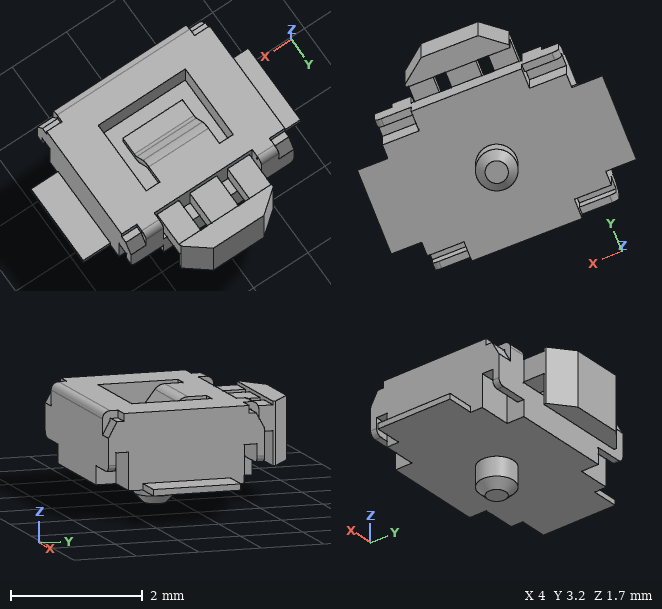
import cadquery as cq
import math


overall_y = 3.2
body_x = 3.0
body_y = 2.5
body_z = 1.2

sheet = 0.12
cover_bend_radius = 0.12
skirt_bottom = 0.3
skirt_corner_radius = 0.11
cover_notch_x = 0.28
cover_notch_y = 0.25
top_cutout_depth = 0.25

housing_top = body_z - sheet
block_x = 1.8
block_z = 0.6
foot_notch_y = 0.325
corner_chamfer_y = 0.135
corner_chamfer_z = 0.25

window_x = 1.6
window_y = 1.28
window_floor = 0.7
tongue_x = 1.095
tongue_bend_y = 0.345
tongue_end_y = -0.35
tongue_drop = 0.32
tongue_angle = 52.0
tongue_inner_radius = 0.08
tongue_outer_radius = tongue_inner_radius + sheet

plunger_x = 1.7
plunger_tip_x = 0.93
plunger_front_y = 1.6
plunger_tip_y = overall_y - body_y / 2
plunger_straight_y = 0.045
plunger_bottom = 0.11
plunger_z = 1.0
arm_bottom = 0.65
arm_z = 0.4
middle_arm_x = 0.495
arm_gap_x = 0.2

terminal_span = 4.0
terminal_y = 1.4
terminal_z = 0.1
peg_diameter = 0.65
peg_length = 0.5
peg_chamfer = 0.15

half_x = body_x / 2
half_y = body_y / 2
top_cutout_y = half_y - top_cutout_depth


def box(x0, x1, y0, y1, z0, z1):
    """Box between two opposite corners."""
    return cq.Workplane("XY").box(x1 - x0, y1 - y0, z1 - z0, centered=False).translate((x0, y0, z0))


def centred_box(size_x, size_y, z0, z1):
    """Box centred on the Z axis between two heights."""
    return box(-size_x / 2, size_x / 2, -size_y / 2, size_y / 2, z0, z1)


def yz_prism(width, profile_points):
    """Extrude a YZ outline symmetrically about X = 0."""
    return cq.Workplane("YZ").polyline(profile_points).close().extrude(width / 2, both=True)


def make_housing():
    """Moulded body: chamfered upper part on a foot with notched corners."""
    shoulder_y = half_y - corner_chamfer_y
    shoulder_z = housing_top - corner_chamfer_z
    upper = yz_prism(body_x, [
        (-half_y, block_z),
        (half_y, block_z),
        (half_y, shoulder_z),
        (shoulder_y, housing_top),
        (-shoulder_y, housing_top),
        (-half_y, shoulder_z),
    ])
    foot = centred_box(body_x, body_y - 2 * foot_notch_y, 0, block_z)
    block = centred_box(block_x, body_y, 0, block_z)
    return upper.union(foot).union(block)


def make_cover():
    """Folded channel with rounded bends, notched at the corners and over the foot block."""
    shell = (
        centred_box(body_x, body_y, skirt_bottom, body_z)
        .edges("|X and >Z").fillet(cover_bend_radius)
        .edges("|Y and <Z").fillet(skirt_corner_radius)
    )
    shell = shell.cut(centred_box(body_x, body_y - 2 * sheet, skirt_bottom, housing_top))
    shell = shell.cut(centred_box(block_x, body_y, skirt_bottom, block_z))
    rear_corner = box(half_x - cover_notch_x, half_x, half_y - cover_notch_y, half_y, block_z, body_z)
    for corner in (rear_corner, rear_corner.mirror("XZ")):
        shell = shell.cut(corner).cut(corner.mirror("YZ"))
    return shell


def make_tongue():
    """Strip of the cover bent down through an S into the window."""
    angle = math.radians(tongue_angle)
    inner = tongue_inner_radius
    outer = tongue_outer_radius
    low_top = body_z - tongue_drop
    bends_drop = (inner + outer) * (1 - math.cos(angle))
    slope = (tongue_drop - bends_drop) / math.sin(angle)
    low_bend_y = tongue_bend_y - (inner + outer) * math.sin(angle) - slope * math.cos(angle)

    def on_upper_bend(radius, turn):
        return (tongue_bend_y - radius * math.sin(turn), body_z - outer + radius * math.cos(turn))

    def on_lower_bend(radius, turn):
        return (low_bend_y + radius * math.sin(turn), low_top + inner - radius * math.cos(turn))

    return (
        cq.Workplane("YZ")
        .moveTo(window_y / 2, body_z)
        .lineTo(tongue_bend_y, body_z)
        .threePointArc(on_upper_bend(outer, angle / 2), on_upper_bend(outer, angle))
        .lineTo(*on_lower_bend(inner, angle))
        .threePointArc(on_lower_bend(inner, angle / 2), on_lower_bend(inner, 0))
        .lineTo(tongue_end_y, low_top)
        .lineTo(tongue_end_y, low_top - sheet)
        .lineTo(low_bend_y, low_top - sheet)
        .threePointArc(on_lower_bend(outer, angle / 2), on_lower_bend(outer, angle))
        .lineTo(*on_upper_bend(inner, angle))
        .threePointArc(on_upper_bend(inner, angle / 2), on_upper_bend(inner, 0))
        .lineTo(window_y / 2, housing_top)
        .close()
        .extrude(tongue_x / 2, both=True)
    )


def make_plunger():
    """Tapered push head on three arms that enter the back of the housing."""
    taper_y = plunger_front_y + plunger_straight_y
    plunger = (
        cq.Workplane("XY", origin=(0, 0, plunger_bottom))
        .polyline([
            (-plunger_x / 2, plunger_front_y),
            (plunger_x / 2, plunger_front_y),
            (plunger_x / 2, taper_y),
            (plunger_tip_x / 2, plunger_tip_y),
            (-plunger_tip_x / 2, plunger_tip_y),
            (-plunger_x / 2, taper_y),
        ])
        .close()
        .extrude(plunger_z)
    )
    arm_top = arm_bottom + arm_z
    arms = box(-plunger_x / 2, plunger_x / 2, top_cutout_y, plunger_front_y, arm_bottom, arm_top)
    for side in (-1, 1):
        gap_centre = side * (middle_arm_x + arm_gap_x) / 2
        gap_x0 = gap_centre - arm_gap_x / 2
        gap = box(gap_x0, gap_x0 + arm_gap_x, top_cutout_y, plunger_front_y, arm_bottom, arm_top)
        arms = arms.cut(gap)
    return plunger.union(arms)


def make_peg():
    """Locating peg under the body with a chamfered end."""
    return (
        cq.Workplane("XY")
        .circle(peg_diameter / 2)
        .extrude(-peg_length)
        .faces("<Z").chamfer(peg_chamfer)
    )


rear_cutout = box(-block_x / 2, block_x / 2, top_cutout_y, half_y, block_z, body_z)
window = centred_box(window_x, window_y, window_floor, body_z)
terminals = centred_box(terminal_span, terminal_y, 0, terminal_z)

result = make_housing().union(make_cover())
result = result.cut(rear_cutout).cut(window)
result = result.union(make_tongue()).union(make_plunger())
result = result.union(terminals).union(make_peg())